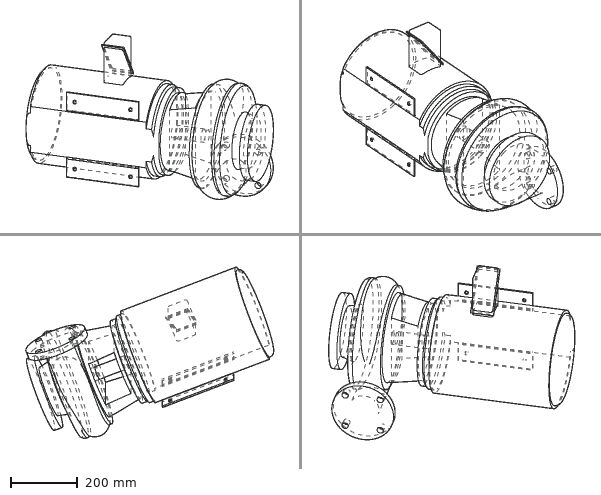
import cadquery as cq
import math


motor_rear_x = -576.0
frame_rear_x = -561.8
frame_front_x = -193.6
shoulder_front_x = -176.7
spigot_rear_x = -170.4
motor_front_x = -153.6
frame_radius = 148.8
bell_radius = 139.5
bell_fillet = 13.0
spigot_radius = 132.7
flat_y = -129.3

foot_face_y = -133.35
foot_thickness = 5.0
foot_center_x = -331.4
foot_length = 229.0
foot_inner_z = 78.0
foot_outer_z = 136.5
foot_root_z = 73.0
foot_hole_spacing_x = 177.8
foot_hole_z = 107.95
foot_hole_diameter = 10.3

box_center_x = -331.4
box_length_x = 62.0
box_width_y = 77.0
box_top_z = 273.6
box_fillet = 6.0
lip_length_x = 70.5
lip_thickness = 4.0
lip_low_z = 152.0
lip_high_z = 266.0
lip_half_y = 42.0

bracket_front_x = -46.9
bracket_rear_radius = 117.0
bracket_front_radius = 136.0
window_rear_x = -141.0
window_front_x = -59.3
window_width_y = 137.0
shaft_radius = 20.0

back_rim_radius = 157.3
front_rim_rear_x = 36.4
front_rim_front_x = 52.2
front_rim_radius = 170.8
front_rim_edge_radius = 164.5
front_rim_arc_radius = 23.0
rim_cone_rear_x = -10.0
neck_arc_start_radius = 116.0
neck_arc_mid_x = 56.6
neck_arc_mid_radius = 99.0
neck_arc_end_x = 63.0
neck_arc_end_radius = 87.0
neck_cone_start_x = 67.6
neck_cone_start_radius = 84.3
neck_end_radius = 77.5
suction_flange_rear_x = 96.9
suction_face_x = 122.5
suction_flange_radius = 115.0

pipe_radius = 44.0
discharge_z = -155.4
outlet_arc_offset = 50.5
outlet_arc_radius = outlet_arc_offset - discharge_z
scroll_radius = outlet_arc_radius - outlet_arc_offset * math.sqrt(2)
taper_center_z = 18.0
taper_end_angle = -30.0
discharge_face_y = 189.7
discharge_flange_thickness = 22.4
discharge_flange_radius = 95.0
discharge_bolt_circle = 152.4
discharge_hole_diameter = 19.05
discharge_fillet = 5.0


def revolve_about_x(outline):
    """Turn a closed XY outline of (x, radius) into a solid about the X axis."""
    return outline.close().revolve(360, (0, 0, 0), (1, 0, 0))


def cylinder_x(start_x, end_x, radius):
    return cq.Workplane("YZ", origin=(start_x, 0, 0)).circle(radius).extrude(end_x - start_x)


def make_frame():
    frame = revolve_about_x(
        cq.Workplane("XY")
        .moveTo(motor_rear_x, 0)
        .lineTo(motor_rear_x, bell_radius - bell_fillet)
        .radiusArc((motor_rear_x + bell_fillet, bell_radius), bell_fillet)
        .lineTo(frame_rear_x, bell_radius)
        .lineTo(frame_rear_x, frame_radius)
        .lineTo(frame_front_x, frame_radius)
        .lineTo(frame_front_x, bell_radius)
        .lineTo(shoulder_front_x, bell_radius)
        .lineTo(spigot_rear_x, spigot_radius)
        .lineTo(motor_front_x, spigot_radius)
        .lineTo(motor_front_x, 0)
    )
    beyond_flat = cq.Workplane("XY").box(
        motor_front_x - motor_rear_x, frame_radius, 2 * frame_radius, centered=(False, False, True)
    ).translate((motor_rear_x, flat_y - frame_radius, 0))
    return frame.cut(beyond_flat)


def make_foot():
    """Upper foot plate, with its inner end sloping down to the flat of the motor."""
    foot_back_y = foot_face_y + foot_thickness
    foot = (
        cq.Workplane("YZ", origin=(foot_center_x, 0, 0))
        .moveTo(foot_face_y, foot_inner_z)
        .lineTo(foot_face_y, foot_outer_z)
        .lineTo(foot_back_y, foot_outer_z)
        .lineTo(foot_back_y, foot_inner_z)
        .lineTo(flat_y + foot_thickness, foot_root_z)
        .lineTo(flat_y, foot_root_z)
        .close()
        .extrude(foot_length / 2, both=True)
    )
    holes = (
        cq.Workplane("XZ", origin=(foot_center_x, foot_back_y, foot_hole_z))
        .rarray(foot_hole_spacing_x, 1, 2, 1)
        .circle(foot_hole_diameter / 2)
        .extrude(foot_thickness)
    )
    return foot.cut(holes)


def make_terminal_box():
    box = (
        cq.Workplane("XY", origin=(box_center_x, 0, 0))
        .rect(box_length_x, box_width_y)
        .extrude(box_top_z)
        .edges("|Z or >Z")
        .fillet(box_fillet)
    )
    lip_run_z = lip_high_z - lip_low_z
    lip = (
        cq.Workplane("XY")
        .box(lip_length_x, math.hypot(2 * lip_half_y, lip_run_z), lip_thickness)
        .rotate((0, 0, 0), (1, 0, 0), -math.degrees(math.atan2(lip_run_z, 2 * lip_half_y)))
        .translate((box_center_x, 0, (lip_low_z + lip_high_z) / 2))
    )
    return box.union(lip)


def make_motor():
    foot = make_foot()
    shaft = cylinder_x(motor_front_x, bracket_front_x, shaft_radius)
    return (
        make_frame()
        .union(foot)
        .union(foot.mirror("XY"))
        .union(make_terminal_box())
        .union(shaft)
    )


def make_bracket():
    """Conical bracket with a window through it along Z and a bore for the motor shaft."""
    cone = revolve_about_x(
        cq.Workplane("XY")
        .moveTo(motor_front_x, 0)
        .lineTo(motor_front_x, bracket_rear_radius)
        .lineTo(bracket_front_x, bracket_front_radius)
        .lineTo(bracket_front_x, 0)
    )
    window = cq.Workplane("XY").box(
        window_front_x - window_rear_x, window_width_y, 2 * bracket_front_radius, centered=(False, True, True)
    ).translate((window_rear_x, 0, 0))
    return cone.cut(window).cut(cylinder_x(motor_front_x, bracket_front_x, shaft_radius))


def make_casing_core():
    return revolve_about_x(
        cq.Workplane("XY")
        .moveTo(bracket_front_x, 0)
        .lineTo(bracket_front_x, back_rim_radius)
        .lineTo(rim_cone_rear_x, back_rim_radius)
        .lineTo(front_rim_rear_x, front_rim_radius)
        .radiusArc((front_rim_front_x, front_rim_edge_radius), front_rim_arc_radius)
        .lineTo(front_rim_front_x, neck_arc_start_radius)
        .threePointArc((neck_arc_mid_x, neck_arc_mid_radius), (neck_arc_end_x, neck_arc_end_radius))
        .lineTo(neck_cone_start_x, neck_cone_start_radius)
        .lineTo(suction_flange_rear_x, neck_end_radius)
        .lineTo(suction_flange_rear_x, suction_flange_radius)
        .lineTo(suction_face_x, suction_flange_radius)
        .lineTo(suction_face_x, 0)
    )


def make_scroll():
    """Round scroll that leaves the core on the +Y side and runs into the discharge pipe.

    Seen along X, its centre line has an outlet arc from straight down (270 degrees) to the
    diagonal (225), an arc about the pump axis up to the top (90), and a smaller taper arc.
    """
    diagonal = scroll_radius * math.sqrt(0.5)
    outlet_mid = math.radians((225 + 270) / 2)
    scroll_mid = math.radians((225 + 90) / 2)
    taper_radius = scroll_radius - taper_center_z
    taper_mid = math.radians((90 + taper_end_angle) / 2)
    taper_end = math.radians(taper_end_angle)

    def taper_point(angle):
        return (taper_radius * math.cos(angle), taper_center_z + taper_radius * math.sin(angle))

    path = (
        cq.Workplane("YZ")
        .moveTo(discharge_face_y, discharge_z)
        .lineTo(outlet_arc_offset, discharge_z)
        .threePointArc(
            (
                outlet_arc_offset + outlet_arc_radius * math.cos(outlet_mid),
                outlet_arc_offset + outlet_arc_radius * math.sin(outlet_mid),
            ),
            (-diagonal, -diagonal),
        )
        .threePointArc(
            (scroll_radius * math.cos(scroll_mid), scroll_radius * math.sin(scroll_mid)),
            (0, scroll_radius),
        )
        .threePointArc(taper_point(taper_mid), taper_point(taper_end))
    )
    section = cq.Workplane("XZ", origin=(0, discharge_face_y, discharge_z)).circle(pipe_radius)
    return section.sweep(path)


def make_discharge_flange():
    bolt_spacing = discharge_bolt_circle / math.sqrt(2)
    flange_back_y = discharge_face_y - discharge_flange_thickness
    flange = (
        cq.Workplane("XZ", origin=(0, discharge_face_y, discharge_z))
        .circle(discharge_flange_radius)
        .rarray(bolt_spacing, bolt_spacing, 2, 2)
        .circle(discharge_hole_diameter / 2)
        .extrude(discharge_flange_thickness)
    )
    collar = (
        cq.Workplane("XY")
        .moveTo(0, flange_back_y - discharge_fillet)
        .lineTo(pipe_radius, flange_back_y - discharge_fillet)
        .radiusArc((pipe_radius + discharge_fillet, flange_back_y), discharge_fillet)
        .lineTo(0, flange_back_y)
        .close()
        .revolve(360, (0, 0, 0), (0, 1, 0))
        .translate((0, 0, discharge_z))
    )
    return flange.union(collar)


def make_casing():
    return make_casing_core().union(make_scroll()).union(make_discharge_flange())


motor = make_motor()
bracket = make_bracket()
casing = make_casing()

result = cq.Compound.makeCompound([motor.val(), bracket.val(), casing.val()])